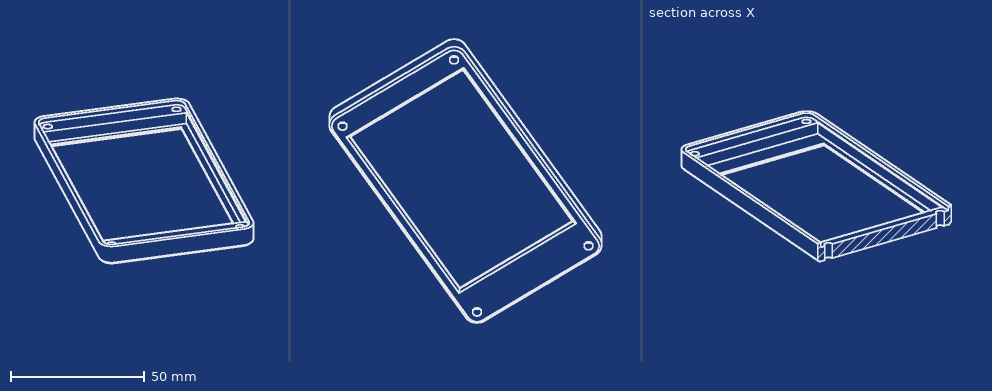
import cadquery as cq

length = 102.0
width = 60.0
height = 8.0
corner_radius = 5.0
bottom_chamfer = 1.0

rim_thickness = 1.6
recess_depth = 1.8

left_ledge_end = 8.6
right_ledge_start = 93.7
pocket_wall = 2.0
floor_thickness = 1.5

window_left = 10.6
window_right = 85.7
window_border = 4.7
window_chamfer = 1.0

hole_diameter = 3.3
hole_inset = corner_radius


def box_between(x_start, x_end, side_margin, z_start):
    """Box from z_start to the top, centred across the width, with X measured from the left end."""
    return cq.Workplane("XY").box(
        x_end - x_start, width - 2 * side_margin, height - z_start, centered=(False, True, False)
    ).translate((x_start - length / 2, 0, z_start))


body = box_between(0, length, 0, 0)
body = body.edges("|Z").fillet(corner_radius)
body = body.faces("<Z").edges().chamfer(bottom_chamfer)

recess = box_between(rim_thickness, length - rim_thickness, rim_thickness, height - recess_depth)
recess = recess.edges("|Z").fillet(corner_radius - rim_thickness)

pocket = box_between(left_ledge_end, right_ledge_start, pocket_wall, floor_thickness)
window = box_between(window_left, window_right, window_border, 0)

holes = (
    cq.Workplane("XY")
    .rect(length - 2 * hole_inset, width - 2 * hole_inset, forConstruction=True)
    .vertices()
    .circle(hole_diameter / 2)
    .extrude(height)
)

result = body.cut(recess).cut(pocket).cut(window)

result = result.faces("<Z").wires(cq.selectors.AreaNthSelector(0)).edges().chamfer(window_chamfer)
result = result.cut(holes)